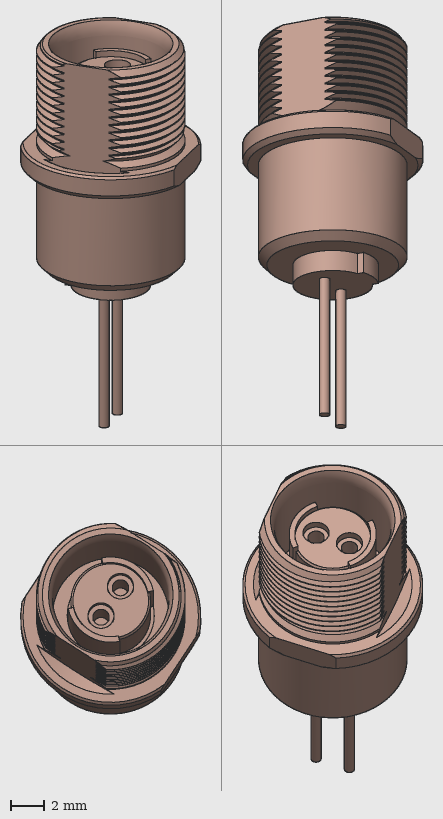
import cadquery as cq
import math

RIM_Z = 24.6
INSERT_FACE_Z = 22.8
LUG_TOP_Z = 23.2
FLOOR_Z = 18.45
FLANGE_TOP_Z = 18.1
FLANGE_BOTTOM_Z = 16.6
SLEEVE_BOTTOM_Z = 16.0
SHELL_BOTTOM_Z = 10.1
INSERT_BOTTOM_Z = 8.8

BODY_RADIUS = 4.5
BODY_CHAMFER = 0.52
FLANGE_RADIUS = 5.45
FLANGE_HALF_WIDTH = 5.005
FLANGE_TOP_CHAMFER = 0.15
FLANGE_BOTTOM_CHAMFER = 0.3
RIM_CHAMFER = 0.37
SOCKET_RADIUS = 3.52
MOUTH_RADIUS = 3.76
MOUTH_DEPTH = 0.93

UNDERCUT_RADIUS = 4.05
UNDERCUT_Z = 18.6
UNDERCUT_FOOT_Z = 18.3

FLAT_HALF_WIDTH = 3.9
RELIEF_RADIUS = 4.8
RELIEF_ANGLE = 30.0

PITCH = 0.5
THREAD_ROOT_RADIUS = 4.18
THREAD_START_Z = 18.92
THREAD_START_ANGLE = 220.0
FIRST_BREAK_ANGLE = 270.0
THREAD_TURNS = 11
THREAD_FLANK_ANGLE = 30.0
CREST_WIDTH = PITCH / 8
THREAD_OVERRUN = 0.07

INSERT_RADIUS = 2.4
INSERT_CHAMFER = 0.12
INSERT_FACE_RADIUS = INSERT_RADIUS - INSERT_CHAMFER
KEY_RADIUS = 2.78
KEY_WIDTH = 2.0
KEY_TOP_Z = 11.32
SLEEVE_RADIUS = 2.63
LUG_ANGLE = 90.0

CONTACT_OFFSET = 1.08
CONTACT_RADIUS = 0.79
CONTACT_RECESS = 0.5
CONTACT_BORE_RADIUS = 0.5
CONTACT_BORE_DEPTH = 2.45
TAIL_RADIUS = 0.32
CONTACT_TOP_Z = INSERT_FACE_Z - CONTACT_RECESS
CONTACT_BORE_FLOOR_Z = CONTACT_TOP_Z - CONTACT_BORE_DEPTH
HEAD_BOTTOM_Z = FLOOR_Z


def cylinder(radius, bottom_z, top_z):
    """Cylinder on the Z axis between two heights."""
    return cq.Workplane("XY").workplane(offset=bottom_z).circle(radius).extrude(top_z - bottom_z)


def shell_blank():
    """Turned outside of the shell: threaded end, undercut, flange and plain body."""
    undercut_top_z = UNDERCUT_Z + BODY_RADIUS - UNDERCUT_RADIUS
    profile = [
        (0, SHELL_BOTTOM_Z),
        (BODY_RADIUS - BODY_CHAMFER, SHELL_BOTTOM_Z),
        (BODY_RADIUS, SHELL_BOTTOM_Z + BODY_CHAMFER),
        (BODY_RADIUS, FLANGE_BOTTOM_Z),
        (FLANGE_RADIUS - FLANGE_BOTTOM_CHAMFER, FLANGE_BOTTOM_Z),
        (FLANGE_RADIUS, FLANGE_BOTTOM_Z + FLANGE_BOTTOM_CHAMFER),
        (FLANGE_RADIUS, FLANGE_TOP_Z - FLANGE_TOP_CHAMFER),
        (FLANGE_RADIUS - FLANGE_TOP_CHAMFER, FLANGE_TOP_Z),
        (BODY_RADIUS, FLANGE_TOP_Z),
        (BODY_RADIUS, UNDERCUT_FOOT_Z),
        (UNDERCUT_RADIUS, UNDERCUT_Z),
        (BODY_RADIUS, undercut_top_z),
        (BODY_RADIUS, RIM_Z - RIM_CHAMFER),
        (BODY_RADIUS - RIM_CHAMFER, RIM_Z),
        (0, RIM_Z),
    ]
    return cq.Workplane("YZ").polyline(profile).close().revolve(360, (0, 0, 0), (0, 1, 0))


def groove_arc(start_angle, end_angle):
    """Stretch of the right-handed V groove between two angles, counted on from the thread start."""
    turns = (end_angle - start_angle) / 360
    start_z = THREAD_START_Z + PITCH * (start_angle - THREAD_START_ANGLE) / 360
    outer_radius = BODY_RADIUS + THREAD_OVERRUN
    slope = math.tan(math.radians(THREAD_FLANK_ANGLE))
    crest_half = (PITCH - CREST_WIDTH) / 2
    outer_half = crest_half + THREAD_OVERRUN * slope
    root_half = crest_half - (BODY_RADIUS - THREAD_ROOT_RADIUS) * slope
    section = [
        (THREAD_ROOT_RADIUS, -root_half),
        (outer_radius, -outer_half),
        (outer_radius, outer_half),
        (THREAD_ROOT_RADIUS, root_half),
    ]
    helix = cq.Workplane(cq.Wire.makeHelix(PITCH, PITCH * turns, THREAD_ROOT_RADIUS))
    groove = cq.Workplane("XZ").polyline(section).close().sweep(helix, isFrenet=True)
    return groove.rotate((0, 0, 0), (0, 0, 1), start_angle).translate((0, 0, start_z))


def cut_thread(shell):
    """Cut the groove one side at a time; the flats at 90 and 270 degrees interrupt it."""
    end_angle = THREAD_START_ANGLE + 360 * THREAD_TURNS
    start = THREAD_START_ANGLE
    stop = FIRST_BREAK_ANGLE
    while start < end_angle:
        shell = shell.cut(groove_arc(start, stop))
        start = stop
        stop += 180
    return shell


def socket_cut():
    """Open upper end of the shell, with a rounded mouth that runs smoothly into the bore."""
    flare = MOUTH_RADIUS - SOCKET_RADIUS
    arc_radius = (flare**2 + MOUTH_DEPTH**2) / (2 * flare)
    mouth_z = RIM_Z - MOUTH_DEPTH
    middle_angle = math.asin(MOUTH_DEPTH / arc_radius) / 2
    arc_middle = (
        SOCKET_RADIUS + arc_radius * (1 - math.cos(middle_angle)),
        mouth_z + arc_radius * math.sin(middle_angle),
    )
    return (
        cq.Workplane("YZ")
        .moveTo(0, FLOOR_Z)
        .lineTo(SOCKET_RADIUS, FLOOR_Z)
        .lineTo(SOCKET_RADIUS, mouth_z)
        .threePointArc(arc_middle, (MOUTH_RADIUS, RIM_Z))
        .lineTo(0, RIM_Z)
        .close()
        .revolve(360, (0, 0, 0), (0, 1, 0))
    )


def flat_cut(side):
    """Material beyond one flat of the threaded end, down to a shallow cone sunk in the flange."""
    cone_tip_z = FLANGE_TOP_Z - RELIEF_RADIUS * math.tan(math.radians(RELIEF_ANGLE))
    profile = [(0, cone_tip_z), (RELIEF_RADIUS, FLANGE_TOP_Z), (RELIEF_RADIUS, RIM_Z), (0, RIM_Z)]
    envelope = cq.Workplane("YZ").polyline(profile).close().revolve(360, (0, 0, 0), (0, 1, 0))
    depth = RELIEF_RADIUS - FLAT_HALF_WIDTH
    slab = cq.Workplane("XY").box(2 * RELIEF_RADIUS, depth, 2 * RIM_Z)
    return envelope.intersect(slab.translate((0, side * (FLAT_HALF_WIDTH + depth / 2), 0)))


def make_insert_blank():
    """Keyed insulator without its contact holes."""
    body = cylinder(INSERT_RADIUS, INSERT_BOTTOM_Z, INSERT_FACE_Z).faces(">Z").chamfer(INSERT_CHAMFER)
    key_bar = (
        cq.Workplane("XY")
        .workplane(offset=INSERT_BOTTOM_Z)
        .center(-KEY_RADIUS / 2, 0)
        .rect(KEY_RADIUS, KEY_WIDTH)
        .extrude(KEY_TOP_Z - INSERT_BOTTOM_Z)
    )
    key = key_bar.intersect(cylinder(KEY_RADIUS, INSERT_BOTTOM_Z, KEY_TOP_Z))
    return body.union(key)


def make_shell(insert_blank):
    """Threaded shell with a keyed through hole and a recess for the sleeve."""
    flange_bounds = cq.Workplane("XY").box(2 * FLANGE_HALF_WIDTH, 2 * FLANGE_RADIUS, 2 * RIM_Z)
    shell = shell_blank().intersect(flange_bounds)
    for side in (-1, 1):
        shell = shell.cut(flat_cut(side))
    shell = cut_thread(shell.cut(socket_cut()))
    return shell.cut(cylinder(SLEEVE_RADIUS, SLEEVE_BOTTOM_Z, FLOOR_Z)).cut(insert_blank)


def make_sleeve(insert_blank):
    """Ring flush with the shell floor, with two lugs that rise past the insert on the Y sides."""
    ring = cylinder(SLEEVE_RADIUS, SLEEVE_BOTTOM_Z, FLOOR_Z)
    reach = 2 * SLEEVE_RADIUS
    half_span = reach * math.tan(math.radians(LUG_ANGLE / 2))
    sectors = (
        cq.Workplane("XY")
        .workplane(offset=FLOOR_Z)
        .polyline([(0, 0), (half_span, reach), (-half_span, reach)])
        .close()
        .polyline([(0, 0), (half_span, -reach), (-half_span, -reach)])
        .close()
        .extrude(LUG_TOP_Z - FLOOR_Z)
    )
    lug_bore = cylinder(INSERT_FACE_RADIUS, FLOOR_Z, LUG_TOP_Z)
    tube = cylinder(SLEEVE_RADIUS, FLOOR_Z, LUG_TOP_Z).cut(lug_bore)
    return ring.union(tube.intersect(sectors)).cut(insert_blank)


def make_insert(insert_blank):
    """Insulator with two stepped contact holes."""
    hole = cylinder(CONTACT_RADIUS, HEAD_BOTTOM_Z, INSERT_FACE_Z).union(
        cylinder(TAIL_RADIUS, INSERT_BOTTOM_Z, HEAD_BOTTOM_Z)
    )
    insert = insert_blank
    for side in (-1, 1):
        insert = insert.cut(hole.translate((0, side * CONTACT_OFFSET, 0)))
    return insert


def make_contact(side):
    """Female contact: a bored head below the insert face and a round tail."""
    head = cylinder(CONTACT_RADIUS, HEAD_BOTTOM_Z, CONTACT_TOP_Z)
    bore = cylinder(CONTACT_BORE_RADIUS, CONTACT_BORE_FLOOR_Z, CONTACT_TOP_Z)
    tail = cylinder(TAIL_RADIUS, 0, HEAD_BOTTOM_Z)
    return head.cut(bore).union(tail).translate((0, side * CONTACT_OFFSET, 0))


insert_blank = make_insert_blank()
shell = make_shell(insert_blank)
sleeve = make_sleeve(insert_blank)
insert = make_insert(insert_blank)
contacts = [make_contact(side) for side in (-1, 1)]

result = cq.Compound.makeCompound(
    [shell.val(), sleeve.val(), insert.val(), *[contact.val() for contact in contacts]]
)